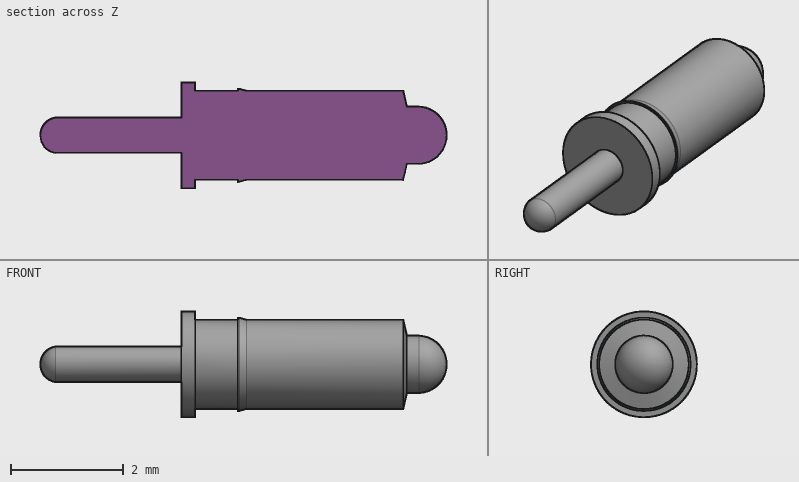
import cadquery as cq
import math

length = 7.2
flange_start = 2.5
flange_width = 0.245
ring_start = 3.5
ring_flat = 0.02
ring_width = 0.15
body_end = 6.43
crimp_length = 0.065
tail_cap_depth = 0.27
nose_depth = 0.5

tail_radius = 0.32
flange_diameter = 1.88
flange_radius = flange_diameter / 2
body_radius = 0.79
ring_radius = 0.83
plunger_radius = 0.51

flange_end = flange_start + flange_width
crimp_end = body_end + crimp_length
nose_start = length - nose_depth


def cylinder(start, end, radius):
    """Solid cylinder along X between two stations."""
    return cq.Workplane("YZ", origin=(start, 0, 0)).circle(radius).extrude(end - start)


def revolve_about_x(profile):
    """Close a half profile in the XY plane and revolve it about X."""
    return profile.close().revolve(360, (0, 0, 0), (1, 0, 0))


def spherical_cap(base, tip, base_radius):
    """Dome from a circular base to a tip on the X axis, on either side of the base."""
    depth = abs(tip - base)
    sphere_radius = (base_radius**2 + depth**2) / (2 * depth)
    center = tip - math.copysign(sphere_radius, tip - base)
    half_angle = math.atan2(base_radius, sphere_radius - depth) / 2
    middle_x = center + math.copysign(sphere_radius * math.cos(half_angle), tip - base)
    middle_radius = sphere_radius * math.sin(half_angle)
    return revolve_about_x(
        cq.Workplane("XY")
        .moveTo(base, 0)
        .lineTo(base, base_radius)
        .threePointArc((middle_x, middle_radius), (tip, 0))
    )


tail = cylinder(tail_cap_depth, flange_start, tail_radius)
tail_cap = spherical_cap(tail_cap_depth, 0, tail_radius)

flange = cylinder(flange_start, flange_end, flange_radius)

barrel = revolve_about_x(
    cq.Workplane("XY")
    .moveTo(flange_end, 0)
    .lineTo(flange_end, body_radius)
    .lineTo(body_end, body_radius)
    .lineTo(crimp_end, plunger_radius)
    .lineTo(crimp_end, 0)
)

ring = revolve_about_x(
    cq.Workplane("XY")
    .moveTo(ring_start, 0)
    .lineTo(ring_start, ring_radius)
    .lineTo(ring_start + ring_flat, ring_radius)
    .lineTo(ring_start + ring_width, body_radius)
    .lineTo(ring_start + ring_width, 0)
)

plunger = cylinder(crimp_end, nose_start, plunger_radius)
nose = spherical_cap(nose_start, length, plunger_radius)

result = tail.union(tail_cap).union(flange).union(barrel).union(ring).union(plunger).union(nose)